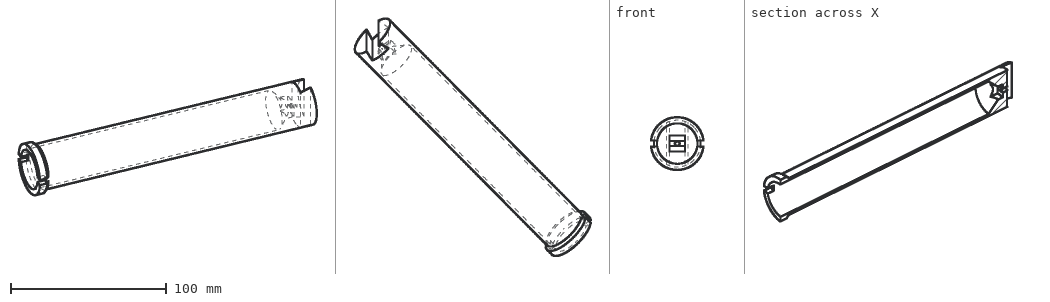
import cadquery as cq

length = 195.4
tube_diameter = 30.0
bore_diameter = 26.0

flange_diameter = 34.0
flange_straight = 5.0
flange_chamfer = (flange_diameter - tube_diameter) / 2
flange_length = flange_straight + flange_chamfer

notch_width = 4.0

dovetail_depth = 7.8
dovetail_mouth = 10.0
dovetail_floor = 13.7

recess_side = 10.2
bridge_slot_width = 3.1
bridge_slot_depth = 0.4
screw_diameter = 3.0
web_thickness = 4.0
recess_depth = 4.0

dovetail_y = length - dovetail_depth
recess_floor_y = dovetail_y - web_thickness
cone_end_y = recess_floor_y - recess_depth

cone_length = (bore_diameter - recess_side) / 2
cone_start_y = cone_end_y - cone_length


def revolve_about_y(points):
    """Revolve a closed (radius, y) outline about the Y axis."""
    return cq.Workplane("XY").polyline(points).close().revolve(360, (0, 0, 0), (0, 1, 0))


def centered_box(width, height, start_y, end_y):
    """Box centred on the Y axis, spanning start_y to end_y."""
    return cq.Workplane("XY").box(width, end_y - start_y, height).translate((0, (start_y + end_y) / 2, 0))


def outer_body():
    return revolve_about_y([
        (0, 0),
        (flange_diameter / 2, 0),
        (flange_diameter / 2, flange_straight),
        (tube_diameter / 2, flange_length),
        (tube_diameter / 2, length),
        (0, length),
    ])


def bore():
    return revolve_about_y([
        (0, 0),
        (bore_diameter / 2, 0),
        (bore_diameter / 2, cone_start_y),
        (recess_side / 2, cone_end_y),
        (0, cone_end_y),
    ])


def flange_notches():
    """Cut through the wall beside the flange, but only down to the tube surface beside its chamfer."""
    across = centered_box(flange_diameter, notch_width, 0, flange_length)
    kept_tube = revolve_about_y([
        (0, flange_straight),
        (tube_diameter / 2, flange_straight),
        (tube_diameter / 2, flange_length),
        (0, flange_length),
    ])
    return across.cut(kept_tube)


def dovetail_slot():
    outline = [
        (-dovetail_mouth / 2, length),
        (-dovetail_floor / 2, dovetail_y),
        (dovetail_floor / 2, dovetail_y),
        (dovetail_mouth / 2, length),
    ]
    return cq.Workplane("XY").polyline(outline).close().extrude(tube_diameter / 2, both=True)


def screw_seat():
    """Square recess opening into the cone, with a shallow slot and a through hole in its floor."""
    recess = centered_box(recess_side, recess_side, cone_start_y, recess_floor_y)
    slot = centered_box(recess_side, bridge_slot_width, cone_start_y, recess_floor_y + bridge_slot_depth)
    radius = screw_diameter / 2
    hole = revolve_about_y([(0, cone_start_y), (radius, cone_start_y), (radius, length), (0, length)])
    return recess.union(slot).union(hole)


result = (
    outer_body()
    .cut(bore())
    .cut(flange_notches())
    .cut(dovetail_slot())
    .cut(screw_seat())
)